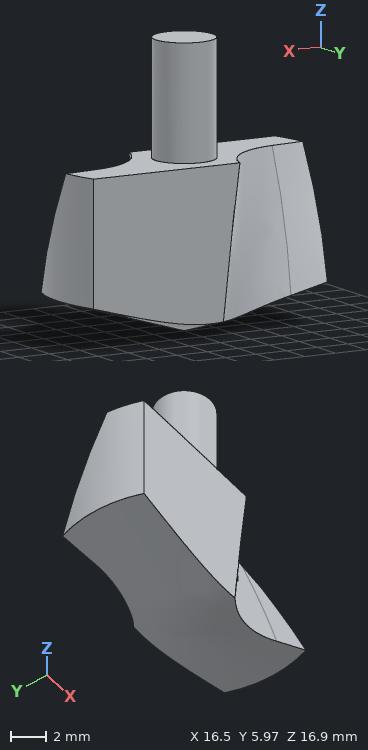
import cadquery as cq
import math

total_height = 16.9
drill_diameter = 16.48
blade_thickness = 5.97
shank_diameter = 3.7
shoulder_height = 9.97
rim_height = 2.5

flute_tangent_x = 6.07
flute_tangent_y = 0.54
flute_radius = 4.78
land_angle = 5.3
flute_twist = 32.8
flute_clearance = 1.69

drill_radius = drill_diameter / 2


def make_blade():
    """Cone-tipped cylinder trimmed to a flat blade."""
    body = (
        cq.Workplane("XZ")
        .moveTo(0, 0)
        .lineTo(drill_radius, rim_height)
        .lineTo(drill_radius, shoulder_height)
        .lineTo(0, shoulder_height)
        .close()
        .revolve(360, (0, 0, 0), (0, 1, 0))
    )
    slab = cq.Workplane("XY").box(
        drill_diameter, blade_thickness, shoulder_height, centered=(True, True, False)
    )
    return body.intersect(slab)


def make_flute_cutter():
    """Helical cutter for the +X, -Y flute."""
    land = math.radians(land_angle)
    center_x = flute_tangent_x + flute_radius * math.sin(land)
    center_y = flute_tangent_y - flute_radius * math.cos(land)
    middle_angle = (math.pi / 2 + land + math.pi) / 2
    arc_middle = (
        center_x + flute_radius * math.cos(middle_angle),
        center_y + flute_radius * math.sin(middle_angle),
    )
    outer_x = drill_radius + flute_clearance
    outer_y = flute_tangent_y + (outer_x - flute_tangent_x) * math.tan(land)
    return (
        cq.Workplane("XY")
        .transformed(rotate=(0, 0, -flute_twist))
        .moveTo(outer_x, outer_y)
        .lineTo(flute_tangent_x, flute_tangent_y)
        .threePointArc(arc_middle, (center_x - flute_radius, center_y))
        .lineTo(outer_x, center_y)
        .close()
        .twistExtrude(shoulder_height, flute_twist)
    )


def make_shank():
    return (
        cq.Workplane("XY")
        .workplane(offset=shoulder_height)
        .circle(shank_diameter / 2)
        .extrude(total_height - shoulder_height)
    )


result = make_blade()
flute_cutter = make_flute_cutter()
for flute_position in (0, 180):
    result = result.cut(flute_cutter.rotate((0, 0, 0), (0, 0, 1), flute_position))
result = result.union(make_shank())